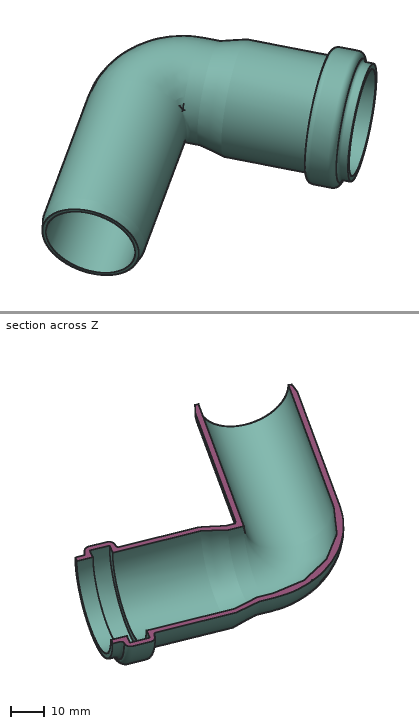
import cadquery as cq
import math

BEND_ANGLE = 87.5
TUBE_RADIUS = 32.2 / 2
BORE_RADIUS = 28.2 / 2
BEND_RADIUS = 14.1
MITRE_FILLET = 0.8

SPIGOT_LENGTH = 51.0
CHAMFER_LENGTH = 3.45
CHAMFER_DEPTH = 0.9

SOCKET_RADIUS = 36.3 / 2
SOCKET_BORE_RADIUS = 32.7 / 2
BEAD_RADIUS = 42.4 / 2
GROOVE_RADIUS = 38.8 / 2
LIP_RADIUS = 36.6 / 2
LIP_BORE_RADIUS = 33.0 / 2

NECK_END = 5.0
CONE_END = 13.0
BEAD_START = 39.3
BEAD_END = 49.1
SOCKET_LENGTH = 52.5

BEAD_ROUND = 2.0
BEAD_ROOT_FILLET = 0.8
LIP_ROOT_FILLET = 1.0
LIP_TAPER_LENGTH = 0.4
BEAD_WALL = BEAD_RADIUS - GROOVE_RADIUS
GROOVE_START = BEAD_START + BEAD_WALL
GROOVE_END = BEAD_END - BEAD_WALL

bend_center = cq.Vector(BEND_RADIUS, SPIGOT_LENGTH, 0)
tilt = math.radians(90 - BEND_ANGLE)
socket_direction = cq.Vector(math.cos(tilt), math.sin(tilt), 0)
socket_origin = bend_center + cq.Vector(-math.sin(tilt), math.cos(tilt), 0) * BEND_RADIUS
socket_plane = cq.Plane(origin=socket_origin, xDir=socket_direction, normal=(0, 0, 1))


def revolve_about_socket(profile):
    return profile.close().revolve(360, (0, 0, 0), (1, 0, 0))


def bend(radius):
    """Tube bend, keeping only the part of the section on the outer side of the bend axis."""
    section = cq.Sketch().circle(radius)
    if radius > BEND_RADIUS:
        overhang = radius - BEND_RADIUS
        section = section.push([(BEND_RADIUS + overhang, 0)]).rect(2 * overhang, 2 * radius, mode="s")
    return (
        cq.Workplane("XZ", origin=(0, SPIGOT_LENGTH, 0))
        .placeSketch(section)
        .revolve(BEND_ANGLE, (BEND_RADIUS, 0.9, 0), (BEND_RADIUS, 0, 0))
    )


def spigot_outside():
    return (
        cq.Workplane("XY")
        .lineTo(TUBE_RADIUS - CHAMFER_DEPTH, 0)
        .lineTo(TUBE_RADIUS, CHAMFER_LENGTH)
        .lineTo(TUBE_RADIUS, SPIGOT_LENGTH)
        .lineTo(0, SPIGOT_LENGTH)
        .close()
        .revolve(360, (0, 0, 0), (0, 1, 0))
    )


def spigot_bore():
    return cq.Workplane("XZ").circle(BORE_RADIUS).extrude(-SPIGOT_LENGTH)


def socket_outside():
    fillet = BEAD_ROOT_FILLET
    lip_fillet = LIP_ROOT_FILLET
    return revolve_about_socket(
        cq.Workplane(socket_plane)
        .lineTo(0, TUBE_RADIUS)
        .lineTo(NECK_END, TUBE_RADIUS)
        .lineTo(CONE_END, SOCKET_RADIUS)
        .lineTo(BEAD_START - fillet, SOCKET_RADIUS)
        .radiusArc((BEAD_START, SOCKET_RADIUS + fillet), -fillet)
        .lineTo(BEAD_START, BEAD_RADIUS - BEAD_ROUND)
        .radiusArc((BEAD_START + BEAD_ROUND, BEAD_RADIUS), BEAD_ROUND)
        .lineTo(BEAD_END - BEAD_ROUND, BEAD_RADIUS)
        .radiusArc((BEAD_END, BEAD_RADIUS - BEAD_ROUND), BEAD_ROUND)
        .lineTo(BEAD_END, LIP_RADIUS + lip_fillet)
        .radiusArc((BEAD_END + lip_fillet, LIP_RADIUS), -lip_fillet)
        .lineTo(SOCKET_LENGTH - LIP_TAPER_LENGTH, LIP_RADIUS)
        .lineTo(SOCKET_LENGTH, SOCKET_RADIUS)
        .lineTo(SOCKET_LENGTH, 0)
    )


def socket_bore():
    return revolve_about_socket(
        cq.Workplane(socket_plane)
        .lineTo(0, BORE_RADIUS)
        .lineTo(NECK_END, BORE_RADIUS)
        .lineTo(CONE_END, SOCKET_BORE_RADIUS)
        .lineTo(GROOVE_START, SOCKET_BORE_RADIUS)
        .lineTo(GROOVE_START, GROOVE_RADIUS)
        .lineTo(GROOVE_END, GROOVE_RADIUS)
        .lineTo(GROOVE_END, LIP_BORE_RADIUS)
        .lineTo(SOCKET_LENGTH, LIP_BORE_RADIUS)
        .lineTo(SOCKET_LENGTH, 0)
    )


def mitre_fillet():
    """Rounded inner corner where the spigot and the socket neck meet directly, below the bend axis."""
    mitre_half_height = math.sqrt(TUBE_RADIUS**2 - BEND_RADIUS**2)
    slab = cq.Workplane().box(4 * TUBE_RADIUS, 4 * TUBE_RADIUS, 2 * mitre_half_height + 2 * MITRE_FILLET)
    slab = slab.translate(bend_center)
    spigot_leg = cq.Workplane("XZ").circle(TUBE_RADIUS).extrude(-SPIGOT_LENGTH - BEND_RADIUS)
    neck_leg = (
        cq.Workplane("YZ")
        .circle(TUBE_RADIUS)
        .extrude(BEND_RADIUS + NECK_END)
        .translate((-BEND_RADIUS, 0, 0))
        .rotate((0, 0, 0), (0, 0, 1), 90 - BEND_ANGLE)
        .translate(socket_origin)
    )
    reach = TUBE_RADIUS - BEND_RADIUS
    corner_reach = cq.Vector(reach, reach, TUBE_RADIUS)
    corner_edges = cq.selectors.BoxSelector(
        (bend_center - corner_reach).toTuple(),
        (bend_center + corner_reach).toTuple(),
    )
    window_width = 2 * (reach + MITRE_FILLET)
    window = cq.Workplane().box(window_width, window_width, 2 * mitre_half_height)
    return (
        spigot_leg.union(neck_leg)
        .intersect(slab)
        .edges(corner_edges)
        .fillet(MITRE_FILLET)
        .intersect(window.translate(bend_center))
    )


outside = spigot_outside().union(bend(TUBE_RADIUS)).union(socket_outside())
outside = outside.union(mitre_fillet())
passage = spigot_bore().union(bend(BORE_RADIUS)).union(socket_bore())
result = outside.cut(passage)